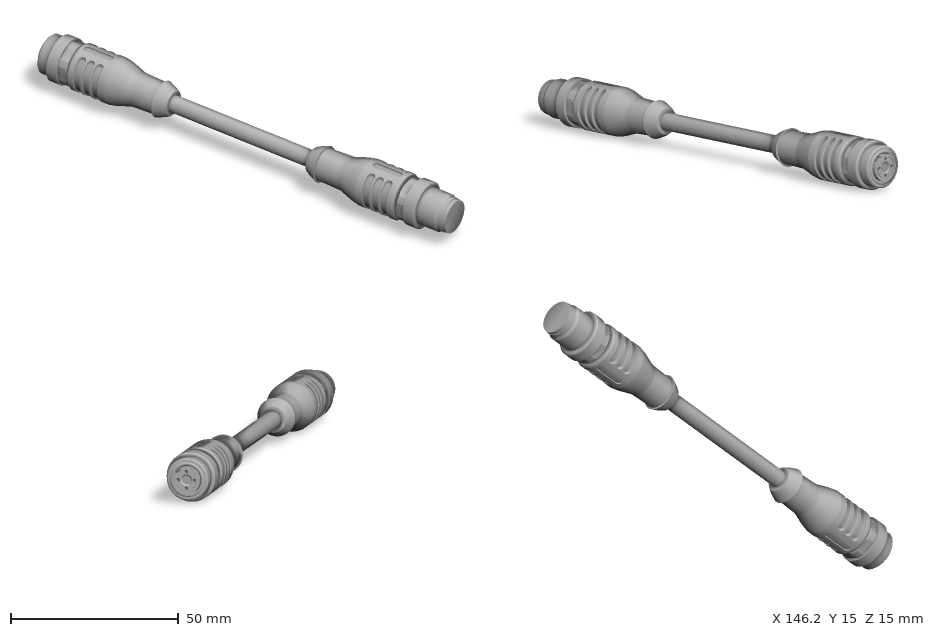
import cadquery as cq
import math

TOTAL_LENGTH = 146.2
SOCKET_TIP_X = -TOTAL_LENGTH / 2
PLUG_TIP_X = TOTAL_LENGTH / 2
CABLE_DIAMETER = 5.4
MAX_DIAMETER = 15.0

SOCKET_GRIP_OFFSET = 12.4
PLUG_GRIP_OFFSET = 17.35
GRIP_RADIUS = MAX_DIAMETER / 2
GRIP_CHAMFER_LENGTH = 0.6
GRIP_CHAMFER_DEPTH = 0.3
TAPER_START = 13.4
TAPER_END = 21.35
STEM_END = 29.25
GRIP_LENGTH = 33.3
TAPER_END_RADIUS = 5.4
TAPER_EDGE_SLOPE = 0.1
STEM_END_RADIUS = 5.15
COLLAR_RADIUS = 5.85
COLLAR_MID_RADIUS = 5.1
COLLAR_END_RADIUS = 4.0

GROOVE_COUNT = 3
GROOVE_PITCH = 3.1
GROOVE_CENTRE = 6.6
GROOVE_WIDTH = 2.5
GROOVE_START_Y = 3.2
GROOVE_DEPTH = 0.8
GROOVE_FLOOR_FILLET = 0.35
SELECTION_MARGIN = 0.1
CUT_CLEARANCE = 1.0
KEY_SLOT_LENGTH = 10.3
KEY_SLOT_WIDTH = 2.4
KEY_SLOT_DEPTH = 0.4

NUT_RING_CHAMFER = 0.4
HEX_SIDES = 6
HEX_ACROSS_FLATS = 13.0
HEX_CORNER_DIAMETER = 13.9
HEX_CHAMFER = 0.4
HEX_LENGTH = 3.0
NECK_RADIUS = 5.0

SLEEVE_START = 1.1
SLEEVE_DIAMETER = 12.8
SLEEVE_BORE_DIAMETER = 10.5
SLEEVE_CHAMFER = 0.4
SOCKET_RING_START = 4.75
SOCKET_RING_END = 8.75
SEAL_DIAMETER = 9.5
SEAL_SECTION_DIAMETER = 1.2
SEAL_CENTRE = 1.4
INSERT_DIAMETER = 8.3
CONTACT_COUNT = 4
CONTACT_CIRCLE_RADIUS = 2.5
CONTACT_DIAMETER = 1.15
CONTACT_DEPTH = 3.0
CENTRE_RECESS_MOUTH_DIAMETER = 3.6
CENTRE_RECESS_FLOOR_DIAMETER = 2.6
CENTRE_RECESS_DEPTH = 0.5
FACE_GROOVE_INNER_RADIUS = 3.15
FACE_GROOVE_OUTER_RADIUS = 3.6
FACE_GROOVE_DEPTH = 0.3
KEYWAY_ANGLE = 45.0
KEYWAY_WIDTH = 2.2
KEYWAY_FLOOR_RADIUS = 3.4

PLUG_TIP_DIAMETER = 10.5
PLUG_RELIEF_DIAMETER = 10.95
PLUG_BARREL_DIAMETER = 12.0
PLUG_TIP_LENGTH = 1.3
PLUG_RELIEF_END = 2.6
PLUG_BARREL_START = 3.5
PLUG_RING_START = 9.8
PLUG_RING_END = 13.7


def cylinder(x_start, x_end, radius):
    """Solid cylinder on the X axis."""
    return cq.Workplane("YZ", origin=(x_start, 0, 0)).circle(radius).extrude(x_end - x_start)


def ring_shell(x_start, x_end, inner_radius):
    """Tube on the X axis that reaches from inner_radius to beyond the grip surface."""
    return cylinder(x_start, x_end, GRIP_RADIUS + CUT_CLEARANCE).cut(cylinder(x_start, x_end, inner_radius))


def grip_body():
    """Turned grip with its connector end at X = 0 and its cable end at +X."""
    taper_middle = (TAPER_START + TAPER_END) / 2
    taper_middle_radius = (GRIP_RADIUS + TAPER_END_RADIUS) / 2
    collar_middle = (STEM_END + GRIP_LENGTH) / 2
    profile = (
        cq.Workplane("XZ")
        .moveTo(0, 0)
        .lineTo(0, GRIP_RADIUS - GRIP_CHAMFER_DEPTH)
        .lineTo(GRIP_CHAMFER_LENGTH, GRIP_RADIUS)
        .lineTo(TAPER_START, GRIP_RADIUS)
        .spline(
            [(taper_middle, taper_middle_radius), (TAPER_END, TAPER_END_RADIUS)],
            tangents=[(1, -TAPER_EDGE_SLOPE), (1, -TAPER_EDGE_SLOPE)],
            includeCurrent=True,
        )
        .lineTo(STEM_END, STEM_END_RADIUS)
        .lineTo(STEM_END, COLLAR_RADIUS)
        .threePointArc((collar_middle, COLLAR_MID_RADIUS), (GRIP_LENGTH, COLLAR_END_RADIUS))
        .lineTo(GRIP_LENGTH, 0)
        .close()
    )
    return profile.revolve(360, (0, 0, 0), (1, 0, 0))


def grip_grooves():
    """Round-ended grooves that run around the +Y and -Y sides of the grip."""
    floor_radius = GRIP_RADIUS - GROOVE_DEPTH
    shell = ring_shell(0, TAPER_START, floor_radius)
    slot_length = 2 * GRIP_RADIUS
    slots = (
        cq.Workplane("XY")
        .center(GROOVE_CENTRE, -GROOVE_START_Y - slot_length / 2)
        .rarray(GROOVE_PITCH, 1, GROOVE_COUNT, 1)
        .slot2D(slot_length, GROOVE_WIDTH, 90)
        .extrude(MAX_DIAMETER, both=True)
    )
    box_reach = floor_radius + SELECTION_MARGIN
    floor_faces = cq.selectors.BoxSelector(
        (0, -box_reach, -box_reach), (TAPER_START, box_reach, box_reach), boundingbox=True
    )
    grooves = slots.intersect(shell).faces(floor_faces).edges().fillet(GROOVE_FLOOR_FILLET)
    return grooves.union(grooves.mirror("XZ"))


def grip_key_slots():
    """Long slots along the top and bottom of the grip."""
    shell = ring_shell(0, TAPER_START, GRIP_RADIUS - KEY_SLOT_DEPTH)
    slot = (
        cq.Workplane("XY")
        .center(GROOVE_CENTRE, 0)
        .slot2D(KEY_SLOT_LENGTH, KEY_SLOT_WIDTH)
        .extrude(MAX_DIAMETER, both=True)
    )
    return slot.intersect(shell)


def nut_hexagon():
    """Hexagon with rounded corners, chamfered at its X = HEX_LENGTH end."""
    corner_to_corner = HEX_ACROSS_FLATS / math.cos(math.pi / HEX_SIDES)
    hexagon = (
        cq.Workplane("YZ")
        .transformed(rotate=(0, 0, 90))
        .polygon(HEX_SIDES, corner_to_corner)
        .extrude(HEX_LENGTH)
    )
    corner_round = cylinder(0, HEX_LENGTH, HEX_CORNER_DIAMETER / 2).faces(">X").chamfer(HEX_CHAMFER)
    return hexagon.intersect(corner_round)


def connector_half(grip_offset, ring_start, ring_end):
    """Ring, hexagon, neck and grip of one end, measured from its tip towards +X."""
    ring = cylinder(ring_start, ring_end, MAX_DIAMETER / 2).faces("<X").chamfer(NUT_RING_CHAMFER)
    grip = grip_body().cut(grip_grooves()).cut(grip_key_slots())
    return (
        ring.union(nut_hexagon().translate((ring_end, 0, 0)))
        .union(cylinder(ring_end, grip_offset, NECK_RADIUS))
        .union(grip.translate((grip_offset, 0, 0)))
    )


def socket_sleeve():
    """Front sleeve with an annular opening that holds the seal ring."""
    sleeve = cylinder(SLEEVE_START, SOCKET_RING_START, SLEEVE_DIAMETER / 2)
    sleeve = sleeve.faces("<X").chamfer(SLEEVE_CHAMFER)
    opening = cylinder(SLEEVE_START, SEAL_CENTRE, SLEEVE_BORE_DIAMETER / 2)
    seal = cq.Workplane(
        cq.Solid.makeTorus(
            SEAL_DIAMETER / 2,
            SEAL_SECTION_DIAMETER / 2,
            cq.Vector(SEAL_CENTRE, 0, 0),
            cq.Vector(1, 0, 0),
        )
    )
    insert_bore = cylinder(SLEEVE_START, SOCKET_RING_START, INSERT_DIAMETER / 2)
    return sleeve.cut(opening).union(seal).cut(insert_bore)


def socket_insert():
    """Contact carrier with contact holes, a centre recess, a face groove and a coding keyway."""
    insert = cylinder(0, SOCKET_RING_START, INSERT_DIAMETER / 2)
    contact_holes = (
        cq.Workplane("YZ")
        .polarArray(CONTACT_CIRCLE_RADIUS, 0, 360, CONTACT_COUNT)
        .circle(CONTACT_DIAMETER / 2)
        .extrude(CONTACT_DEPTH)
    )
    recess = cq.Workplane(
        cq.Solid.makeCone(
            CENTRE_RECESS_MOUTH_DIAMETER / 2,
            CENTRE_RECESS_FLOOR_DIAMETER / 2,
            CENTRE_RECESS_DEPTH,
            dir=cq.Vector(1, 0, 0),
        )
    )
    face_groove = cylinder(0, FACE_GROOVE_DEPTH, FACE_GROOVE_OUTER_RADIUS).cut(
        cylinder(0, FACE_GROOVE_DEPTH, FACE_GROOVE_INNER_RADIUS)
    )
    keyway_height = INSERT_DIAMETER / 2
    keyway = (
        cq.Workplane("YZ")
        .center(KEYWAY_FLOOR_RADIUS + keyway_height / 2, 0)
        .rect(keyway_height, KEYWAY_WIDTH)
        .extrude(SEAL_CENTRE)
        .rotate((0, 0, 0), (1, 0, 0), KEYWAY_ANGLE)
    )
    return insert.cut(contact_holes).cut(recess).cut(face_groove).cut(keyway)


def socket_connector():
    """Socket end with its tip at X = 0, pointing towards -X."""
    half = connector_half(SOCKET_GRIP_OFFSET, SOCKET_RING_START, SOCKET_RING_END)
    return half.union(socket_insert().union(socket_sleeve()))


def plug_barrel():
    """Stepped barrel with its tip at X = 0."""
    profile = (
        cq.Workplane("XY")
        .moveTo(0, 0)
        .lineTo(0, PLUG_TIP_DIAMETER / 2)
        .lineTo(PLUG_TIP_LENGTH, PLUG_TIP_DIAMETER / 2)
        .lineTo(PLUG_TIP_LENGTH, PLUG_RELIEF_DIAMETER / 2)
        .lineTo(PLUG_RELIEF_END, PLUG_RELIEF_DIAMETER / 2)
        .lineTo(PLUG_BARREL_START, PLUG_BARREL_DIAMETER / 2)
        .lineTo(PLUG_RING_START, PLUG_BARREL_DIAMETER / 2)
        .lineTo(PLUG_RING_START, 0)
        .close()
    )
    return profile.revolve(360, (0, 0, 0), (1, 0, 0))


def plug_connector():
    """Plug end with its tip at X = 0, pointing towards +X."""
    half = connector_half(PLUG_GRIP_OFFSET, PLUG_RING_START, PLUG_RING_END)
    return half.union(plug_barrel()).mirror("YZ")


cable = cylinder(
    SOCKET_TIP_X + SOCKET_GRIP_OFFSET + GRIP_LENGTH,
    PLUG_TIP_X - PLUG_GRIP_OFFSET - GRIP_LENGTH,
    CABLE_DIAMETER / 2,
)
result = (
    cable.union(socket_connector().translate((SOCKET_TIP_X, 0, 0)))
    .union(plug_connector().translate((PLUG_TIP_X, 0, 0)))
)